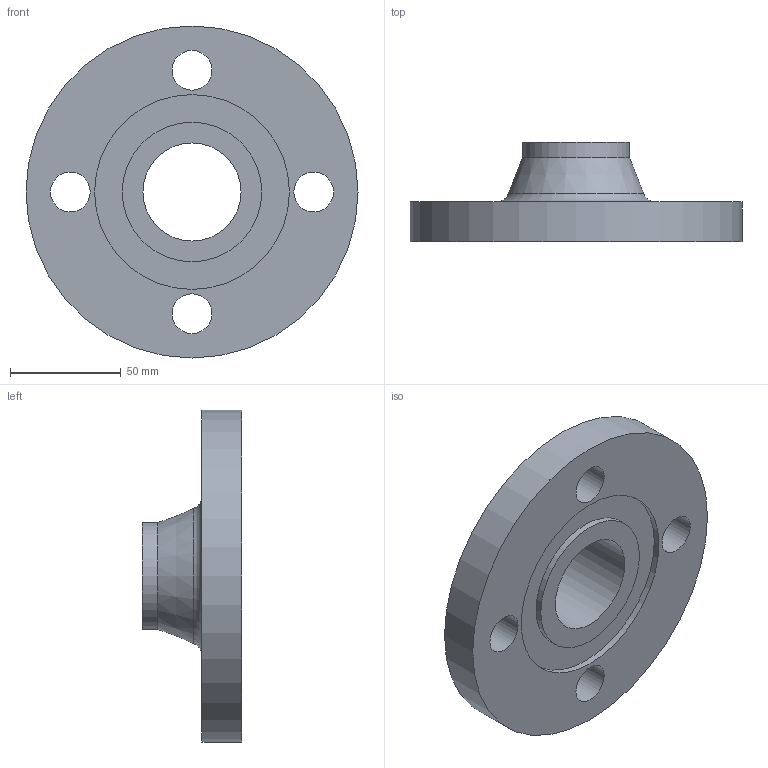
import cadquery as cq
import math


flange_diameter = 150.0
flange_thickness = 18.0
bore_diameter = 44.3

overall_length = 45.0
weld_end_diameter = 48.3
weld_end_length = 7.0
hub_base_diameter = 64.0
hub_fillet_radius = 6.0

groove_outer_diameter = 88.0
groove_inner_diameter = 63.0
groove_depth = 3.0

bolt_circle_diameter = 110.0
bolt_hole_diameter = 18.0
bolt_hole_count = 4

weld_end_y = overall_length / 2
sealing_face_y = -weld_end_y
flange_back_y = sealing_face_y + flange_thickness
cone_top_y = weld_end_y - weld_end_length


def cylinder(diameter, start_y, length, x=0.0, z=0.0):
    """Cylinder running toward +Y from start_y, centred on (x, z)."""
    return cq.Workplane(
        cq.Solid.makeCylinder(diameter / 2, length, cq.Vector(x, start_y, z), cq.Vector(0, 1, 0))
    )


def make_body():
    """Solid of revolution: disc, filleted conical hub and weld end."""
    flange_radius = flange_diameter / 2
    weld_end_radius = weld_end_diameter / 2
    hub_base_radius = hub_base_diameter / 2

    cone_half_angle = math.atan2(hub_base_radius - weld_end_radius, cone_top_y - flange_back_y)
    tangent_length = hub_fillet_radius * math.tan((math.pi / 2 - cone_half_angle) / 2)
    disc_tangent = (hub_base_radius + tangent_length, flange_back_y)
    cone_tangent = (
        hub_base_radius - tangent_length * math.sin(cone_half_angle),
        flange_back_y + tangent_length * math.cos(cone_half_angle),
    )
    arc_middle_angle = (math.pi / 2 + cone_half_angle) / 2
    arc_middle = (
        disc_tangent[0] - hub_fillet_radius * math.cos(arc_middle_angle),
        flange_back_y + hub_fillet_radius * (1 - math.sin(arc_middle_angle)),
    )

    return (
        cq.Workplane("XY")
        .moveTo(0, sealing_face_y)
        .lineTo(flange_radius, sealing_face_y)
        .lineTo(flange_radius, flange_back_y)
        .lineTo(*disc_tangent)
        .threePointArc(arc_middle, cone_tangent)
        .lineTo(weld_end_radius, cone_top_y)
        .lineTo(weld_end_radius, weld_end_y)
        .lineTo(0, weld_end_y)
        .close()
        .revolve(360, (0, 0, 0), (0, 1, 0))
    )


def make_groove():
    """Ring removed from the sealing face, leaving a central land flush with the face."""
    outer = cylinder(groove_outer_diameter, sealing_face_y, groove_depth)
    inner = cylinder(groove_inner_diameter, sealing_face_y, groove_depth)
    return outer.cut(inner)


def cut_bolt_holes(body):
    """Through holes evenly spaced on the bolt circle, starting on +X."""
    for index in range(bolt_hole_count):
        angle = 2 * math.pi * index / bolt_hole_count
        x = bolt_circle_diameter / 2 * math.cos(angle)
        z = bolt_circle_diameter / 2 * math.sin(angle)
        body = body.cut(cylinder(bolt_hole_diameter, sealing_face_y, flange_thickness, x, z))
    return body


flange = make_body()
flange = flange.cut(cylinder(bore_diameter, sealing_face_y, overall_length))
flange = flange.cut(make_groove())
result = cut_bolt_holes(flange)